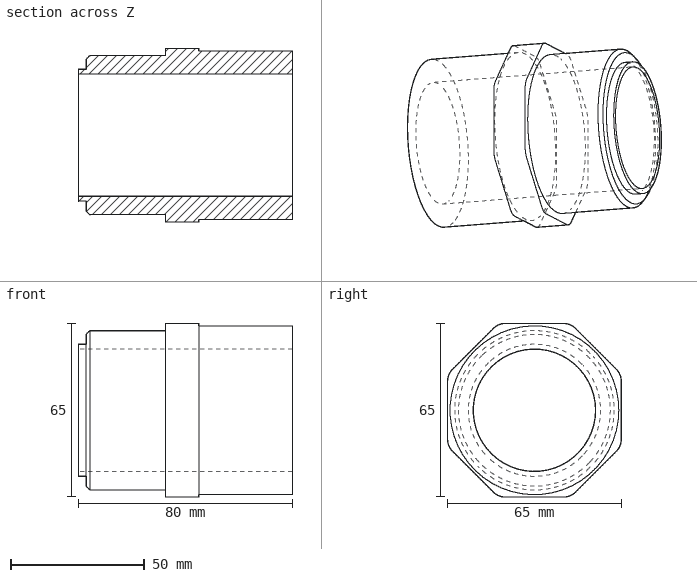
import cadquery as cq
import math

total_length = 80.0
nose_length = 2.9
collar_start = 32.5
collar_width = 12.6
collar_end = collar_start + collar_width

bore_diameter = 45.6
nose_diameter = 49.4
spigot_diameter = 59.6
socket_diameter = 63.0

collar_sides = 8
collar_across_flats = 65.0
collar_corner_radius = 6.2

spigot_chamfer = 1.4


def cylinder_along_x(diameter, start, end):
    """Solid cylinder on the X axis between two stations."""
    return cq.Workplane("YZ").workplane(offset=start).circle(diameter / 2).extrude(end - start)


def make_spigot():
    """Outer cylinder with a chamfered leading edge."""
    spigot = cylinder_along_x(spigot_diameter, nose_length, collar_start)
    return spigot.faces("<X").chamfer(spigot_chamfer)


def make_collar():
    """Octagon with flats square to Y and Z and rounded corners."""
    half_angle = math.pi / collar_sides
    across_corners = collar_across_flats / math.cos(half_angle)
    collar = (
        cq.Workplane("YZ")
        .workplane(offset=collar_start)
        .transformed(rotate=(0, 0, math.degrees(half_angle)))
        .polygon(collar_sides, across_corners)
        .extrude(collar_width)
    )
    return collar.edges("|X").fillet(collar_corner_radius)


nose = cylinder_along_x(nose_diameter, 0, nose_length)
socket = cylinder_along_x(socket_diameter, collar_end, total_length)
bore = cylinder_along_x(bore_diameter, 0, total_length)

result = nose.union(make_spigot()).union(make_collar()).union(socket).cut(bore)